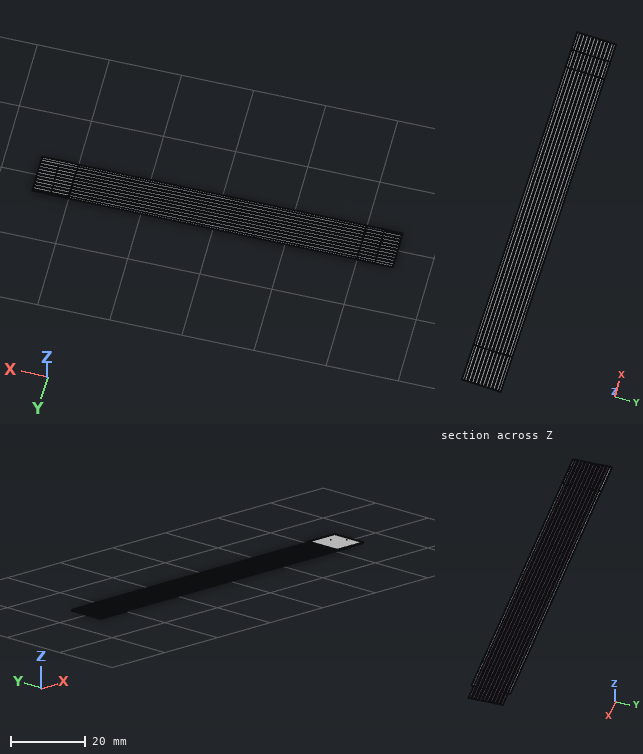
import cadquery as cq

length = 100.0
width = 11.0
thickness = 0.59

conductor_count = 10
conductor_pitch = 1.0
conductor_width = 0.7
conductor_thickness = 0.05

exposed_length = 5.0
stiffener_length = 10.0
stiffener_thickness = 0.225
film_thickness = (thickness - 2 * stiffener_thickness - conductor_thickness) / 2

lower_film_z = stiffener_thickness
conductor_z = lower_film_z + film_thickness
upper_film_z = conductor_z + conductor_thickness
upper_stiffener_z = upper_film_z + film_thickness


def layer(x_start, x_end, z_bottom, z_top, y_center=0.0, layer_width=width):
    """Flat strip running along X, centred on y_center."""
    size_x = x_end - x_start
    strip = cq.Workplane("XY").box(size_x, layer_width, z_top - z_bottom, centered=(False, True, False))
    return strip.translate((x_start, y_center, z_bottom))


def conductors():
    """Row of parallel conductors running the whole length of the cable."""
    first_y = -conductor_pitch * (conductor_count - 1) / 2
    row = cq.Workplane("XY")
    for index in range(conductor_count):
        y = first_y + index * conductor_pitch
        row = row.add(layer(0, length, conductor_z, upper_film_z, y, conductor_width))
    return row.combine()


def films():
    """Two films sandwiching the conductors, with open gaps between neighbouring conductors.

    The upper film leaves the conductors bare on top at the left end,
    the lower film leaves them bare underneath at the right end.
    """
    lower = layer(0, length - exposed_length, lower_film_z, conductor_z)
    upper = layer(exposed_length, length, upper_film_z, upper_stiffener_z)
    return lower.add(upper).combine()


def stiffeners():
    """Backing strips on the side opposite the bare conductors at each end."""
    left = layer(0, stiffener_length, 0, lower_film_z)
    right = layer(length - stiffener_length, length, upper_stiffener_z, thickness)
    return left.add(right).combine()


result = conductors().union(films()).union(stiffeners())